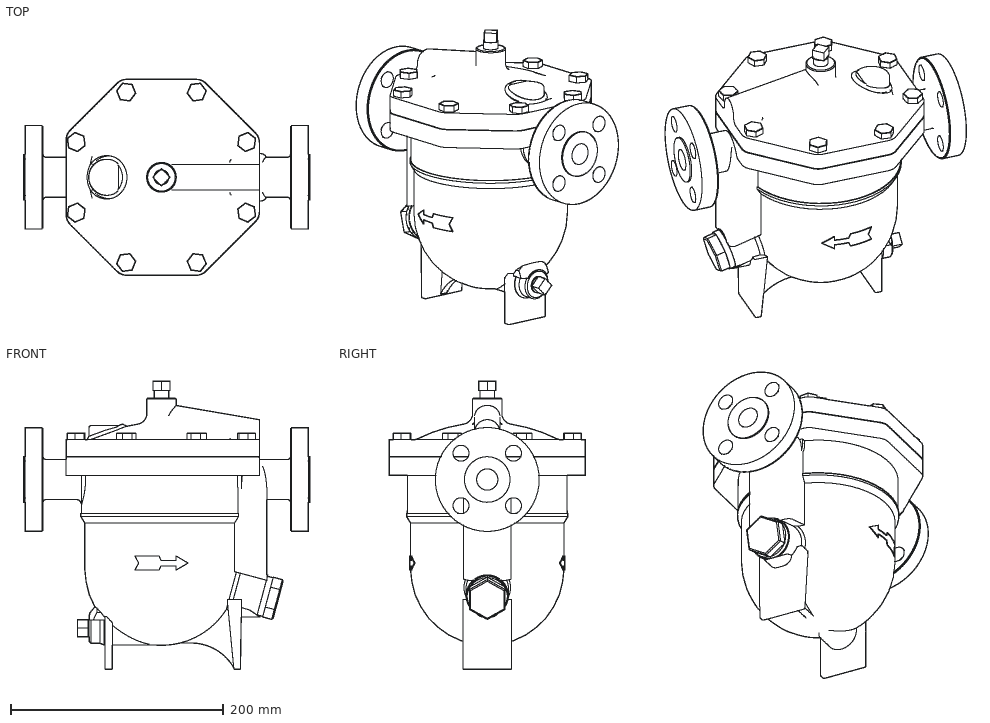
import cadquery as cq
import math

EMBED = 8.0

PIPE_RADIUS = 19.0
FLANGE_RADIUS = 49.0
FLANGE_THICKNESS = 16.0
RAISED_FACE_RADIUS = 21.5
RAISED_FACE_HEIGHT = 1.5
FLANGE_BACK_CHAMFER = 1.0
HUB_FILLET = 2.5
BORE_DIAMETER = 20.0
BORE_DEPTH = 40.0
FLANGE_BOLT_DIAMETER = 15.0
FLANGE_BOLT_CIRCLE = 70.0
LEFT_END_X = -130.0
RIGHT_END_X = 140.0

BODY_RADIUS = 75.5
RING_RADIUS = 76.2
RING_TOP_Z = -32.3
RING_BOTTOM_Z = -34.8
SHELL_RADIUS = 72.5
SHELL_TOP_Z = -41.0
BOWL_CENTRE_Z = -84.0
PIPE_ROOT_FILLET = 5.0

COVER_TOP_Z = 37.6
COVER_JOINT_Z = 21.3
BODY_FLANGE_BOTTOM_Z = 3.8
JOINT_GAP = 0.3
JOINT_RECESS = 0.5
COVER_APOTHEM = 92.5
COVER_LEFT_X = -90.0
COVER_CORNER_RADIUS = 13.0
SIDE_COUNT = 8

BOLT_CIRCLE_RADIUS = 87.0
BOLT_ACROSS_CORNERS = 18.4
BOLT_HEAD_HEIGHT = 6.2
BOLT_HEAD_CHAMFER = 0.4

DOME_RADIUS = 68.3
DOME_SPHERE_EDGE_RADIUS = 66.0
DOME_EDGE_RISE = 0.7
DOME_APEX_Z = 54.0
NECK_RADIUS = 14.0
NECK_FLARE_RADIUS = 22.5
NECK_FLARE_TOP_Z = 60.5
NECK_TOP_Z = 76.8
NECK_CHAMFER = 1.0
VENT_STEM_RADIUS = 7.0
VENT_SQUARE_BOTTOM_Z = 83.7
VENT_TOP_Z = 92.7
SQUARE_DIAGONAL = 16.4

PAD_X = -51.5
PAD_RADIUS = 17.0
PAD_TOP_Z = 51.0
PAD_TOP_FILLET = 2.5
PAD_SKIRT_Z = 43.2
PAD_SKIRT_RADIUS = 20.5
PAD_SKIRT_HEIGHT = 3.5
PAD_SKIRT_TILT_DEG = 20.0

ARM_RADIUS = 12.0
ARM_END_Z = 44.3
ARM_SLOPE_DEG = 9.7
ARM_ROOT_FILLET = 6.0
ARM_ROOT_START_X = 55.0
ARM_DOME_FILLET = 2.8

DUCT_HALF_WIDTH = 22.5
DUCT_ARCH_Z = -4.5
DUCT_END_X = 99.4
DUCT_FILLET = 6.0
DUCT_OVERLAP = 5.0

PLUG_TILT_DEG = 15.0
PLUG_BOSS_RADIUS = 20.0
PLUG_FLARE = 4.0
PLUG_FLARE_END = 73.0
PLUG_BOSS_END = 98.5
PLUG_SEAT_RADIUS = 19.0
PLUG_SEAT_END = 104.0
PLUG_END = 114.0
PLUG_ACROSS_CORNERS = 39.0
PLUG_CHAMFER = 1.2

DRAIN_Z = -140.3
DRAIN_CHANNEL_RADIUS = 16.0
DRAIN_BOSS_RADIUS = 14.2
DRAIN_CHANNEL_START_X = -54.0
DRAIN_TAPER_START_X = -58.0
DRAIN_TIP_X = -68.1
DRAIN_SQUARE_END_X = -69.5
DRAIN_STEM_RADIUS = 7.8
DRAIN_HEAD_X = -79.3
DRAIN_CHAMFER = 1.5
DRAIN_FLARE_START_X = -67.8
DRAIN_FLARE_END_X = -61.0
DRAIN_FLARE_RADIUS = 22.5
DRAIN_FLARE_HALF_WIDTH = 17.0
DRAIN_FLARE_BOTTOM = 8.0

FOOT_Z = -179.1
LEG_WIDTH = 46.0
LEG_EDGE_FILLET = 1.4
FOOT_FILLET = 1.0
LEFT_LEG_X = (-53.4, -46.3)
LEFT_LEG_TOP_Z = -129.0
RIGHT_LEG_FOOT_X = (68.3, 74.6)
RIGHT_LEG_TOP_X = (62.0, 75.6)
RIGHT_LEG_TOP_Z = -113.0
WEB_THICKNESS = 8.0
WEB_ARC_START_X = 28.0
WEB_ARC_START_Z = -154.3
RIB_WIDTH = 24.0
RIB_EDGE_FILLET = 9.0
RIB_BOTTOM_Z = -129.8
RIB_END_X = 93.0

ARROW_CENTRE_Z = -78.8
ARROW_HALF_LENGTH = 25.1
ARROW_HALF_HEIGHT = 6.8
ARROW_SHAFT_HALF_HEIGHT = 2.6
ARROW_HEAD_X = 13.5
ARROW_SHAFT_X = -0.5
ARROW_TAIL_END_X = -2.3
ARROW_NOTCH_X = -21.5
ARROW_HEIGHT = 0.7


def disc(radius, length, start, direction):
    """Solid cylinder from a start point along a direction."""
    return cq.Workplane(cq.Solid.makeCylinder(radius, length, cq.Vector(*start), cq.Vector(*direction)))


def make_body():
    """Solid shell of revolution with a hemispherical bowl."""
    bowl_bottom_z = BOWL_CENTRE_Z - SHELL_RADIUS
    bowl_mid = SHELL_RADIUS * math.sqrt(0.5)
    return (
        cq.Workplane("XZ")
        .moveTo(0, COVER_JOINT_Z)
        .lineTo(BODY_RADIUS, COVER_JOINT_Z)
        .lineTo(BODY_RADIUS, RING_TOP_Z)
        .lineTo(RING_RADIUS, RING_TOP_Z)
        .lineTo(RING_RADIUS, RING_BOTTOM_Z)
        .lineTo(SHELL_RADIUS, SHELL_TOP_Z)
        .lineTo(SHELL_RADIUS, BOWL_CENTRE_Z)
        .threePointArc((bowl_mid, BOWL_CENTRE_Z - bowl_mid), (0, bowl_bottom_z))
        .close()
        .revolve(360, (0, 0, 0), (0, 1, 0))
    )


def make_octagon(bottom_z, top_z):
    """Octagonal plate with rounded corners, trimmed slightly on its -X side."""
    corner_diameter = 2 * COVER_APOTHEM / math.cos(math.pi / SIDE_COUNT)
    plate = (
        cq.Workplane("XY", origin=(0, 0, bottom_z))
        .transformed(rotate=(0, 0, 180 / SIDE_COUNT))
        .polygon(SIDE_COUNT, corner_diameter)
        .extrude(top_z - bottom_z)
    )
    kept_length = COVER_APOTHEM - COVER_LEFT_X
    keep = cq.Workplane("XY").box(kept_length, 2 * COVER_APOTHEM, top_z - bottom_z)
    keep = keep.translate((COVER_LEFT_X + kept_length / 2, 0, (top_z + bottom_z) / 2))
    return plate.intersect(keep).edges("|Z").fillet(COVER_CORNER_RADIUS)


def make_joint_groove():
    """Hairline ring around the flange joint, for cutting."""
    bottom_z = COVER_JOINT_Z - JOINT_GAP / 2
    plate = make_octagon(bottom_z, bottom_z + JOINT_GAP)
    outline = plate.faces(">Z").wires().toPending()
    core = outline.offset2D(-JOINT_RECESS).extrude(-JOINT_GAP, combine=False)
    return plate.cut(core)


def make_cover_bolts():
    bolts = cq.Workplane("XY")
    head = (
        cq.Workplane("XY")
        .polygon(6, BOLT_ACROSS_CORNERS)
        .extrude(BOLT_HEAD_HEIGHT + EMBED)
        .faces(">Z")
        .edges()
        .chamfer(BOLT_HEAD_CHAMFER)
        .translate((BOLT_CIRCLE_RADIUS, 0, COVER_TOP_Z - EMBED))
    )
    for index in range(SIDE_COUNT):
        angle = (index + 0.5) * 360 / SIDE_COUNT
        bolts = bolts.add(head.rotate((0, 0, 0), (0, 0, 1), angle))
    return bolts.combine()


def make_dome():
    """Shallow spherical dome flaring up into the central neck."""
    edge_z = COVER_TOP_Z + DOME_EDGE_RISE
    rise = DOME_APEX_Z - edge_z
    sphere_radius = (DOME_SPHERE_EDGE_RADIUS**2 + rise**2) / (2 * rise)

    def dome_z(radius):
        return DOME_APEX_Z - sphere_radius + math.sqrt(sphere_radius**2 - radius**2)

    middle = (DOME_SPHERE_EDGE_RADIUS + NECK_FLARE_RADIUS) / 2
    flare_z = dome_z(NECK_FLARE_RADIUS)
    return (
        cq.Workplane("XZ")
        .moveTo(0, COVER_TOP_Z - EMBED)
        .lineTo(DOME_RADIUS, COVER_TOP_Z - EMBED)
        .lineTo(DOME_RADIUS, COVER_TOP_Z)
        .lineTo(DOME_SPHERE_EDGE_RADIUS, edge_z)
        .threePointArc((middle, dome_z(middle)), (NECK_FLARE_RADIUS, flare_z))
        .tangentArcPoint((NECK_RADIUS, NECK_FLARE_TOP_Z), relative=False)
        .lineTo(NECK_RADIUS, NECK_TOP_Z - NECK_CHAMFER)
        .lineTo(NECK_RADIUS - NECK_CHAMFER, NECK_TOP_Z)
        .lineTo(0, NECK_TOP_Z)
        .close()
        .revolve(360, (0, 0, 0), (0, 1, 0))
    )


def make_vent_plug():
    stem_bottom_z = NECK_TOP_Z - EMBED
    stem = disc(VENT_STEM_RADIUS, VENT_SQUARE_BOTTOM_Z - stem_bottom_z, (0, 0, stem_bottom_z), (0, 0, 1))
    head = (
        cq.Workplane("XY", origin=(0, 0, VENT_SQUARE_BOTTOM_Z))
        .polygon(4, SQUARE_DIAGONAL)
        .extrude(VENT_TOP_Z - VENT_SQUARE_BOTTOM_Z)
    )
    return stem.union(head)


def make_pad():
    """Round blind boss near the rim of the dome, with a conical skirt square to the dome."""
    height = PAD_TOP_Z - COVER_TOP_Z + EMBED
    pad = disc(PAD_RADIUS, height, (PAD_X, 0, COVER_TOP_Z - EMBED), (0, 0, 1))
    pad = pad.faces(">Z").edges().fillet(PAD_TOP_FILLET)
    centre = cq.Vector(PAD_X, 0, PAD_SKIRT_Z)
    tilt = math.radians(PAD_SKIRT_TILT_DEG)
    normal = cq.Vector(-math.sin(tilt), 0, math.cos(tilt))
    skirt = cq.Solid.makeCone(PAD_SKIRT_RADIUS, PAD_RADIUS, PAD_SKIRT_HEIGHT, centre, normal)
    return pad.union(cq.Workplane(skirt))


def arm_axis_z(x):
    return ARM_END_Z + (COVER_APOTHEM - x) * math.tan(math.radians(ARM_SLOPE_DEG))


def make_arm():
    """Half-round ridge with upright sides, ending flush with the cover edge."""
    slope = math.radians(ARM_SLOPE_DEG)
    length = 2 * EMBED + COVER_APOTHEM / math.cos(slope)
    direction = (math.cos(slope), 0, -math.sin(slope))
    ridge = disc(ARM_RADIUS, length, (0, 0, arm_axis_z(0)), direction)
    wall = (
        cq.Workplane("XZ", origin=(0, ARM_RADIUS, 0))
        .moveTo(0, COVER_TOP_Z - EMBED)
        .lineTo(COVER_APOTHEM, COVER_TOP_Z - EMBED)
        .lineTo(COVER_APOTHEM, arm_axis_z(COVER_APOTHEM))
        .lineTo(0, arm_axis_z(0))
        .close()
        .extrude(2 * ARM_RADIUS)
    )
    height = VENT_TOP_Z - BODY_FLANGE_BOTTOM_Z
    keep = cq.Workplane("XY", origin=(COVER_APOTHEM / 2, 0, BODY_FLANGE_BOTTOM_Z + height / 2))
    keep = keep.box(COVER_APOTHEM, 4 * ARM_RADIUS, height)
    return ridge.union(wall).intersect(keep)


def make_arm_root():
    """Concave skirts where the arm stands on the flat of the cover."""
    base = ARM_RADIUS + ARM_ROOT_FILLET
    bend = ARM_ROOT_FILLET * (1 - math.sqrt(0.5))
    top_z = COVER_TOP_Z + ARM_ROOT_FILLET
    return (
        cq.Workplane("YZ", origin=(ARM_ROOT_START_X, 0, 0))
        .moveTo(-base, COVER_TOP_Z)
        .threePointArc((-ARM_RADIUS - bend, COVER_TOP_Z + bend), (-ARM_RADIUS, top_z))
        .lineTo(ARM_RADIUS, top_z)
        .threePointArc((ARM_RADIUS + bend, COVER_TOP_Z + bend), (base, COVER_TOP_Z))
        .lineTo(base, COVER_JOINT_Z)
        .lineTo(-base, COVER_JOINT_Z)
        .close()
        .extrude(COVER_APOTHEM - ARM_ROOT_START_X)
    )


def make_cover():
    """Cover plate with its dome, arm, boss, bolts and vent plug; the arm is filleted along the dome."""
    crown = make_octagon(COVER_JOINT_Z, COVER_TOP_Z).union(make_dome())
    crown = crown.union(make_arm()).union(make_arm_root())
    side_edges = cq.selectors.BoxSelector(
        (NECK_RADIUS, -NECK_RADIUS, ARM_END_Z),
        (ARM_ROOT_START_X, NECK_RADIUS, NECK_TOP_Z),
    )
    dome_edges = crown.edges(side_edges).edges("%CIRCLE").vals()
    crown = crown.newObject(dome_edges).fillet(ARM_DOME_FILLET)
    crown = crown.union(make_pad())
    return crown.union(make_cover_bolts()).union(make_vent_plug())


def make_pipe(end_x):
    """Pipe with its flange, from inside the body out to the raised face at end_x."""
    reach = abs(end_x)
    front = reach - RAISED_FACE_HEIGHT
    back = front - FLANGE_THICKNESS
    hub = back - FLANGE_BACK_CHAMFER
    bend = HUB_FILLET * (1 - math.sqrt(0.5))
    root = BODY_RADIUS + PIPE_ROOT_FILLET
    root_bend = PIPE_ROOT_FILLET * (1 - math.sqrt(0.5))
    pipe = (
        cq.Workplane("XY")
        .moveTo(BODY_RADIUS - 2 * EMBED, 0)
        .lineTo(BODY_RADIUS - 2 * EMBED, PIPE_RADIUS + PIPE_ROOT_FILLET)
        .lineTo(BODY_RADIUS, PIPE_RADIUS + PIPE_ROOT_FILLET)
        .threePointArc((BODY_RADIUS + root_bend, PIPE_RADIUS + root_bend), (root, PIPE_RADIUS))
        .lineTo(hub - HUB_FILLET, PIPE_RADIUS)
        .threePointArc((hub - bend, PIPE_RADIUS + bend), (hub, PIPE_RADIUS + HUB_FILLET))
        .lineTo(hub, FLANGE_RADIUS - FLANGE_BACK_CHAMFER)
        .lineTo(back, FLANGE_RADIUS - FLANGE_BACK_CHAMFER)
        .lineTo(back, FLANGE_RADIUS)
        .lineTo(front, FLANGE_RADIUS)
        .lineTo(front, RAISED_FACE_RADIUS)
        .lineTo(reach, RAISED_FACE_RADIUS)
        .lineTo(reach, 0)
        .close()
        .revolve(360, (0, 0, 0), (1, 0, 0))
    )
    offset = FLANGE_BOLT_CIRCLE / 2 * math.sqrt(0.5)
    for y in (-offset, offset):
        for z in (-offset, offset):
            pipe = pipe.cut(disc(FLANGE_BOLT_DIAMETER / 2, reach - hub, (hub, y, z), (1, 0, 0)))
    return pipe if end_x > 0 else pipe.mirror("YZ")


def make_bore(end_x):
    inward = -math.copysign(1, end_x)
    return disc(BORE_DIAMETER / 2, BORE_DEPTH, (end_x, 0, 0), (inward, 0, 0))


def along_plug(solid):
    """Turn a solid built along +X onto the inclined plug axis."""
    return solid.rotate((0, 0, 0), (0, 1, 0), PLUG_TILT_DEG).translate((0, 0, BOWL_CENTRE_Z))


def make_duct():
    """Arched duct with a rounded outer edge, ending on the crest of the inclined boss."""
    bottom_z = BOWL_CENTRE_Z - SHELL_RADIUS
    duct = (
        cq.Workplane("YZ", origin=(BODY_RADIUS / 2, 0, 0))
        .moveTo(-DUCT_HALF_WIDTH, bottom_z)
        .lineTo(-DUCT_HALF_WIDTH, DUCT_ARCH_Z)
        .threePointArc((0, DUCT_ARCH_Z + DUCT_HALF_WIDTH), (DUCT_HALF_WIDTH, DUCT_ARCH_Z))
        .lineTo(DUCT_HALF_WIDTH, bottom_z)
        .close()
        .extrude(DUCT_END_X - BODY_RADIUS / 2)
        .faces(">X")
        .edges("not(<Z)")
        .fillet(DUCT_FILLET)
    )
    size = 4 * PLUG_END
    crest = PLUG_BOSS_RADIUS - DUCT_OVERLAP
    below = cq.Workplane("XY").box(size, size, size).translate((0, 0, crest - size / 2))
    return duct.cut(along_plug(below))


def make_plug():
    flare_start = PLUG_FLARE_END - 2 * PLUG_FLARE
    boss = (
        cq.Workplane("XY")
        .lineTo(0, PLUG_BOSS_RADIUS)
        .lineTo(flare_start, PLUG_BOSS_RADIUS + PLUG_FLARE)
        .lineTo(PLUG_FLARE_END, PLUG_BOSS_RADIUS)
        .lineTo(PLUG_BOSS_END, PLUG_BOSS_RADIUS)
        .lineTo(PLUG_BOSS_END, PLUG_SEAT_RADIUS)
        .lineTo(PLUG_SEAT_END, PLUG_SEAT_RADIUS)
        .lineTo(PLUG_SEAT_END, 0)
        .close()
        .revolve(360, (0, 0, 0), (1, 0, 0))
    )
    head = (
        cq.Workplane("YZ", origin=(PLUG_SEAT_END, 0, 0))
        .transformed(rotate=(0, 0, 90))
        .polygon(6, PLUG_ACROSS_CORNERS)
        .extrude(PLUG_END - PLUG_SEAT_END)
        .faces(">X")
        .edges()
        .chamfer(PLUG_CHAMFER)
    )
    return along_plug(boss.union(head))


def make_drain_flare():
    """Conical blend from the top of the drain boss up to the bowl, centred on the drain axis."""
    inner_x = DRAIN_FLARE_END_X + 2 * EMBED
    flare = (
        cq.Workplane("XY")
        .moveTo(DRAIN_FLARE_START_X, 0)
        .lineTo(DRAIN_FLARE_START_X, DRAIN_BOSS_RADIUS)
        .lineTo(DRAIN_FLARE_END_X, DRAIN_FLARE_RADIUS)
        .lineTo(inner_x, DRAIN_FLARE_RADIUS)
        .lineTo(inner_x, 0)
        .close()
        .revolve(360, (0, 0, 0), (1, 0, 0))
    )
    length = inner_x - DRAIN_FLARE_START_X
    keep = cq.Workplane("XY").box(length, 2 * DRAIN_FLARE_HALF_WIDTH, DRAIN_FLARE_RADIUS)
    keep = keep.translate((
        (inner_x + DRAIN_FLARE_START_X) / 2,
        0,
        DRAIN_FLARE_BOTTOM + DRAIN_FLARE_RADIUS / 2,
    ))
    return flare.intersect(keep)


def make_drain():
    channel = (
        cq.Workplane("XY")
        .lineTo(0, DRAIN_CHANNEL_RADIUS)
        .lineTo(DRAIN_CHANNEL_START_X, DRAIN_CHANNEL_RADIUS)
        .lineTo(DRAIN_TAPER_START_X, DRAIN_BOSS_RADIUS)
        .lineTo(DRAIN_TIP_X + DRAIN_CHAMFER, DRAIN_BOSS_RADIUS)
        .lineTo(DRAIN_TIP_X, DRAIN_BOSS_RADIUS - DRAIN_CHAMFER)
        .lineTo(DRAIN_TIP_X, 0)
        .close()
        .revolve(360, (0, 0, 0), (1, 0, 0))
    )
    head = (
        cq.Workplane("YZ", origin=(DRAIN_HEAD_X, 0, 0))
        .polygon(4, SQUARE_DIAGONAL)
        .extrude(DRAIN_SQUARE_END_X - DRAIN_HEAD_X)
    )
    stem = disc(DRAIN_STEM_RADIUS, EMBED, (DRAIN_SQUARE_END_X, 0, 0), (1, 0, 0))
    drain = channel.union(head).union(stem).union(make_drain_flare())
    return drain.translate((0, 0, DRAIN_Z))


def make_leg(outline):
    """Upright leg of constant width from a side outline in X and Z."""
    leg = cq.Workplane("XZ", origin=(0, LEG_WIDTH / 2, 0)).polyline(outline).close().extrude(LEG_WIDTH)
    leg = leg.edges("(not |Y) and (not |X)").fillet(LEG_EDGE_FILLET)
    return leg.faces("<Z").edges().fillet(FOOT_FILLET)


def make_legs():
    inner_x, outer_x = LEFT_LEG_X
    left = make_leg([
        (inner_x, FOOT_Z),
        (outer_x, FOOT_Z),
        (outer_x, LEFT_LEG_TOP_Z),
        (inner_x, LEFT_LEG_TOP_Z),
    ])
    right = make_leg([
        (RIGHT_LEG_FOOT_X[0], FOOT_Z),
        (RIGHT_LEG_FOOT_X[1], FOOT_Z),
        (RIGHT_LEG_TOP_X[1], RIGHT_LEG_TOP_Z),
        (RIGHT_LEG_TOP_X[0], RIGHT_LEG_TOP_Z),
    ])
    return left.union(right)


def make_web():
    """Plate under the bowl that braces the +X leg, with a concave lower edge."""
    end_x = sum(RIGHT_LEG_FOOT_X) / 2
    return (
        cq.Workplane("XZ", origin=(0, WEB_THICKNESS / 2, 0))
        .moveTo(0, BOWL_CENTRE_Z)
        .lineTo(0, WEB_ARC_START_Z)
        .lineTo(WEB_ARC_START_X, WEB_ARC_START_Z)
        .tangentArcPoint((RIGHT_LEG_FOOT_X[0], FOOT_Z + LEG_EDGE_FILLET), relative=False)
        .lineTo(end_x, FOOT_Z + LEG_EDGE_FILLET)
        .lineTo(end_x, BOWL_CENTRE_Z)
        .close()
        .extrude(WEB_THICKNESS)
    )


def make_rib():
    """Short round-bottomed rib filling the corner between the +X leg and the inclined boss."""
    start_x = RIGHT_LEG_FOOT_X[0]
    return (
        cq.Workplane("XZ", origin=(0, RIB_WIDTH / 2, 0))
        .moveTo(start_x, RIB_BOTTOM_Z)
        .lineTo(RIB_END_X, RIB_BOTTOM_Z)
        .lineTo(start_x, RIGHT_LEG_TOP_Z)
        .close()
        .extrude(RIB_WIDTH)
        .edges("|X")
        .fillet(RIB_EDGE_FILLET)
    )


def make_arrows():
    """Flow arrows pointing to +X, raised on the -Y and +Y sides of the shell."""
    upper = [
        (ARROW_HALF_LENGTH, 0),
        (ARROW_HEAD_X, ARROW_HALF_HEIGHT),
        (ARROW_HEAD_X, ARROW_SHAFT_HALF_HEIGHT),
        (ARROW_SHAFT_X, ARROW_SHAFT_HALF_HEIGHT),
        (ARROW_TAIL_END_X, ARROW_HALF_HEIGHT),
        (-ARROW_HALF_LENGTH, ARROW_HALF_HEIGHT),
        (ARROW_NOTCH_X, 0),
    ]
    lower = [(x, -z) for x, z in reversed(upper[1:-1])]
    prism = (
        cq.Workplane("XZ", origin=(0, 0, ARROW_CENTRE_Z))
        .polyline(upper + lower)
        .close()
        .extrude(BODY_RADIUS + EMBED, both=True)
    )
    height = 4 * ARROW_HALF_HEIGHT
    start = (0, 0, ARROW_CENTRE_Z - height / 2)
    return prism.intersect(disc(SHELL_RADIUS + ARROW_HEIGHT, height, start, (0, 0, 1)))


result = make_body().union(make_octagon(BODY_FLANGE_BOTTOM_Z, COVER_JOINT_Z))
result = result.union(make_arrows())
result = result.union(make_duct())
result = result.union(make_plug())
result = result.union(make_legs())
result = result.union(make_web())
result = result.union(make_rib())
result = result.union(make_drain())
result = result.union(make_cover())
result = result.cut(make_joint_groove())
for flange_end_x in (LEFT_END_X, RIGHT_END_X):
    result = result.union(make_pipe(flange_end_x))
    result = result.cut(make_bore(flange_end_x))